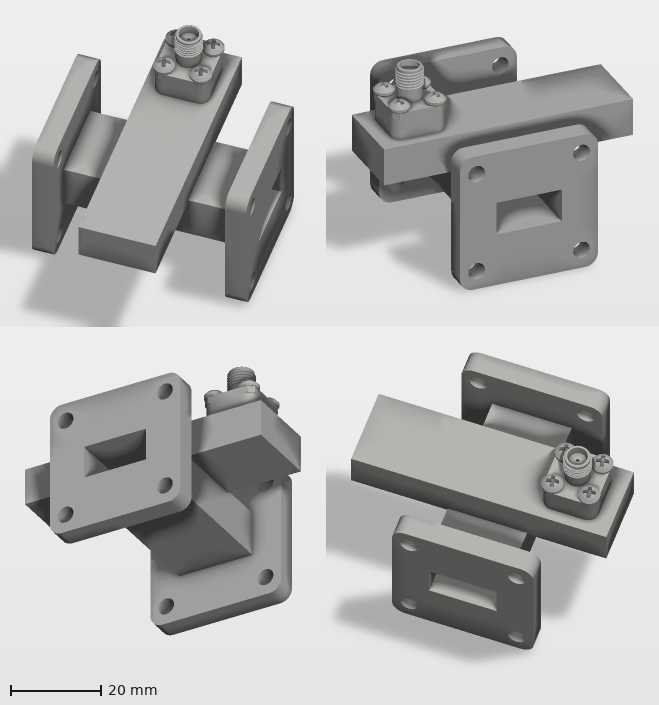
import cadquery as cq
import math


OVERALL_HEIGHT = 45.05

GUIDE_LENGTH = 50.0
GUIDE_WIDTH = 18.65
GUIDE_HEIGHT = 10.8
BORE_WIDTH = 15.8
BORE_HEIGHT = 7.9
FLANGE_SIDE = 33.2
FLANGE_THICKNESS = 5.0
FLANGE_CORNER_RADIUS = 3.0
BOLT_HOLE_DIAMETER = 4.0
BOLT_SPACING_Y = 25.25
BOLT_SPACING_Z = 24.3

ARM_LENGTH = 60.0
ARM_WIDTH = 18.0
ARM_HEIGHT = 8.95
ARM_CENTRE_Y = -2.05
ARM_BOTTOM_Z = 4.8
ARM_TOP_Z = ARM_BOTTOM_Z + ARM_HEIGHT

CONNECTOR_SIDE = 12.7
CONNECTOR_END_MARGIN = 10.0
CONNECTOR_Y = ARM_CENTRE_Y + ARM_LENGTH / 2 - CONNECTOR_END_MARGIN
POST_HEIGHT = 5.05
POST_CORNER_RADIUS = 2.4
POST_TOP_Z = ARM_TOP_Z + POST_HEIGHT

PLATE_THICKNESS = 1.7
PLATE_CORNER_CHAMFER = 1.25
PLATE_TOP_Z = POST_TOP_Z + PLATE_THICKNESS
CONNECTOR_TOP_Z = OVERALL_HEIGHT - FLANGE_SIDE / 2
BARREL_HEIGHT = CONNECTOR_TOP_Z - PLATE_TOP_Z
BARREL_RADIUS = 2.9
RIM_CHAMFER = 0.2
SOCKET_MOUTH_RADIUS = 2.3
SOCKET_FLOOR_RADIUS = 2.1
SOCKET_DEPTH = 1.9
CONTACT_RADIUS = 0.65
CONTACT_BORE_RADIUS = 0.4
CONTACT_HEIGHT = 0.2
CONTACT_BORE_DEPTH = 0.9

THREAD_RADIUS = 3.2
THREAD_PITCH = 0.7
THREAD_TURNS = 7
THREAD_START_DEPTH = 5.1
THREAD_TOP_DEPTH = 0.7
THREAD_BOTTOM_DEPTH = 4.6
THREAD_START_ANGLE = -90.0
THREAD_ROOT_WIDTH = 0.6
THREAD_CREST_WIDTH = 0.1
THREAD_EMBED = 0.2

SCREW_SPACING = 8.65
SCREW_RADIUS = 2.45
SCREW_FOOT_RADIUS = 2.3
SCREW_FOOT_HEIGHT = 0.3
SCREW_RIM_TOP = 0.9
DOME_RADIUS = 2.2
DOME_BOTTOM = 1.15
SCREW_HEIGHT = 2.2
RECESS_SPAN = 3.0
RECESS_WIDTH = 0.95
RECESS_DEPTH = 1.5
RECESS_TAPER = 6.0
RECESS_ANGLE = 12.0


def box_from(bottom_z, length, width, height, centre_y=0.0):
    """Box standing on bottom_z, centred on X = 0 and Y = centre_y."""
    return (
        cq.Workplane("XY", origin=(0, centre_y, bottom_z))
        .rect(length, width)
        .extrude(height)
    )


def make_flange(start_x):
    """Rounded square flange with four bolt holes, from start_x towards +X."""
    plate = (
        cq.Workplane("YZ", origin=(start_x, 0, 0))
        .rect(FLANGE_SIDE, FLANGE_SIDE)
        .extrude(FLANGE_THICKNESS)
        .edges("|X")
        .fillet(FLANGE_CORNER_RADIUS)
    )
    return (
        plate.faces("<X")
        .workplane(centerOption="CenterOfBoundBox")
        .rect(BOLT_SPACING_Y, BOLT_SPACING_Z, forConstruction=True)
        .vertices()
        .hole(BOLT_HOLE_DIAMETER)
    )


def make_housing():
    """Flanged waveguide, coupling arm and connector post in one piece."""
    housing = cq.Workplane("XY").box(GUIDE_LENGTH, GUIDE_WIDTH, GUIDE_HEIGHT)
    for start_x in (-GUIDE_LENGTH / 2, GUIDE_LENGTH / 2 - FLANGE_THICKNESS):
        housing = housing.union(make_flange(start_x))
    arm = box_from(ARM_BOTTOM_Z, ARM_WIDTH, ARM_LENGTH, ARM_HEIGHT, ARM_CENTRE_Y)
    post = (
        box_from(ARM_TOP_Z, CONNECTOR_SIDE, CONNECTOR_SIDE, POST_HEIGHT, CONNECTOR_Y)
        .edges("|Z")
        .fillet(POST_CORNER_RADIUS)
    )
    bore = cq.Workplane("XY").box(GUIDE_LENGTH, BORE_WIDTH, BORE_HEIGHT)
    return housing.union(arm).union(post).cut(bore)


def make_thread():
    """Right-handed thread ridge around the Z axis, rising from Z = 0."""
    root_radius = BARREL_RADIUS - THREAD_EMBED
    helix = cq.Wire.makeHelix(THREAD_PITCH, THREAD_PITCH * THREAD_TURNS, root_radius)
    ridge = (
        cq.Workplane("XZ")
        .moveTo(root_radius, -THREAD_ROOT_WIDTH / 2)
        .lineTo(THREAD_RADIUS, -THREAD_CREST_WIDTH / 2)
        .lineTo(THREAD_RADIUS, THREAD_CREST_WIDTH / 2)
        .lineTo(root_radius, THREAD_ROOT_WIDTH / 2)
        .close()
        .sweep(cq.Workplane(helix), isFrenet=True)
    )
    return ridge.rotate((0, 0, 0), (0, 0, 1), THREAD_START_ANGLE)


def make_connector():
    """Connector plate with its threaded barrel, tapered socket and centre contact."""
    plate = (
        box_from(POST_TOP_Z, CONNECTOR_SIDE, CONNECTOR_SIDE, PLATE_THICKNESS, CONNECTOR_Y)
        .edges("|Z")
        .chamfer(PLATE_CORNER_CHAMFER)
    )
    barrel = (
        cq.Workplane("XY", origin=(0, CONNECTOR_Y, PLATE_TOP_Z))
        .circle(BARREL_RADIUS)
        .extrude(BARREL_HEIGHT)
        .faces(">Z")
        .chamfer(RIM_CHAMFER)
    )
    thread_band = (
        cq.Workplane("XY", origin=(0, CONNECTOR_Y, CONNECTOR_TOP_Z - THREAD_BOTTOM_DEPTH))
        .circle(THREAD_RADIUS + THREAD_EMBED)
        .extrude(THREAD_BOTTOM_DEPTH - THREAD_TOP_DEPTH)
    )
    ridge = make_thread().translate((0, CONNECTOR_Y, CONNECTOR_TOP_Z - THREAD_START_DEPTH))
    thread = ridge.intersect(thread_band)
    socket_floor_z = CONNECTOR_TOP_Z - SOCKET_DEPTH
    socket = (
        cq.Workplane("XY", origin=(0, CONNECTOR_Y, socket_floor_z))
        .circle(SOCKET_FLOOR_RADIUS)
        .workplane(offset=SOCKET_DEPTH)
        .circle(SOCKET_MOUTH_RADIUS)
        .loft()
    )
    contact_top_z = socket_floor_z + CONTACT_HEIGHT
    contact = (
        cq.Workplane("XY", origin=(0, CONNECTOR_Y, socket_floor_z))
        .circle(CONTACT_RADIUS)
        .extrude(CONTACT_HEIGHT)
    )
    contact_bore = (
        cq.Workplane("XY", origin=(0, CONNECTOR_Y, contact_top_z))
        .circle(CONTACT_BORE_RADIUS)
        .extrude(-CONTACT_BORE_DEPTH)
    )
    return plate.union(barrel).union(thread).cut(socket).union(contact).cut(contact_bore)


def make_screw(x, y):
    """Domed screw head with a tapered cross recess, seated on the connector plate."""
    dome_rise = SCREW_HEIGHT - DOME_BOTTOM
    sphere_radius = (DOME_RADIUS**2 + dome_rise**2) / (2 * dome_rise)
    mid_radius = DOME_RADIUS / 2
    mid_height = SCREW_HEIGHT - sphere_radius + math.sqrt(sphere_radius**2 - mid_radius**2)
    head = (
        cq.Workplane("XZ")
        .lineTo(SCREW_FOOT_RADIUS, 0)
        .lineTo(SCREW_RADIUS, SCREW_FOOT_HEIGHT)
        .lineTo(SCREW_RADIUS, SCREW_RIM_TOP)
        .lineTo(DOME_RADIUS, DOME_BOTTOM)
        .threePointArc((mid_radius, mid_height), (0, SCREW_HEIGHT))
        .close()
        .revolve(360, (0, 0), (0, 1))
    )
    for arm_angle in (RECESS_ANGLE, RECESS_ANGLE + 90):
        slot = (
            cq.Workplane("XY", origin=(0, 0, SCREW_HEIGHT))
            .rect(RECESS_SPAN, RECESS_WIDTH)
            .extrude(-RECESS_DEPTH, taper=RECESS_TAPER)
            .rotate((0, 0, 0), (0, 0, 1), arm_angle)
        )
        head = head.cut(slot)
    return head.translate((x, y, PLATE_TOP_Z))


housing = make_housing()
connector = make_connector()
screws = []
for side_x in (-1, 1):
    for side_y in (-1, 1):
        screw_x = side_x * SCREW_SPACING / 2
        screw_y = CONNECTOR_Y + side_y * SCREW_SPACING / 2
        screws.append(make_screw(screw_x, screw_y).val())

result = cq.Compound.makeCompound([housing.val(), connector.val(), *screws])